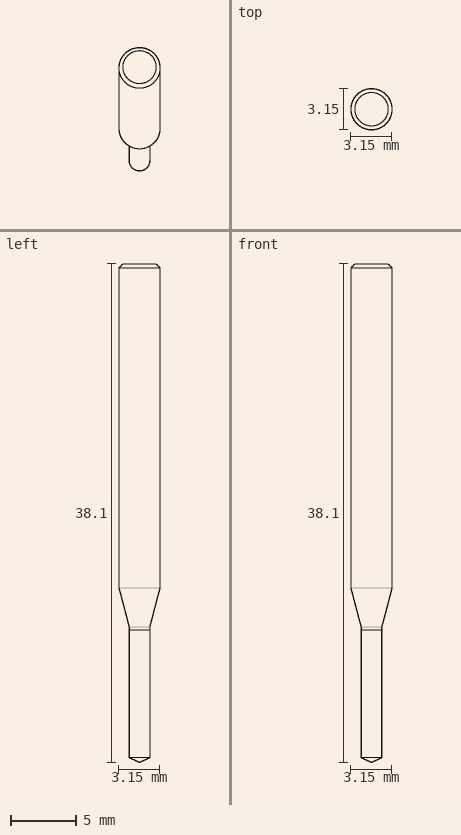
import cadquery as cq
import math

total_length = 38.1
shank_diameter = 3.15
drill_diameter = 1.6
point_angle = 130
joint_height = 10.15
collar_length = 0.23
taper_length = 2.97
end_chamfer = 0.3

shank_radius = shank_diameter / 2
drill_radius = drill_diameter / 2
point_length = drill_radius / math.tan(math.radians(point_angle / 2))
taper_start = joint_height + collar_length
taper_end = taper_start + taper_length


def revolve_about_z(profile):
    """Turn a closed (radius, height) profile into a solid of revolution."""
    return cq.Workplane("XZ").polyline(profile).close().revolve(360, (0, 0), (0, 1))


def make_drill():
    """Straight round drill with a conical point at the bottom."""
    return revolve_about_z([
        (0, 0),
        (drill_radius, point_length),
        (drill_radius, joint_height),
        (0, joint_height),
    ])


def make_shank():
    """Cylindrical shank, chamfered on top and tapered down to the drill."""
    return revolve_about_z([
        (0, joint_height),
        (drill_radius, joint_height),
        (drill_radius, taper_start),
        (shank_radius, taper_end),
        (shank_radius, total_length - end_chamfer),
        (shank_radius - end_chamfer, total_length),
        (0, total_length),
    ])


drill = make_drill()
shank = make_shank()

result = cq.Compound.makeCompound([drill.val(), shank.val()])